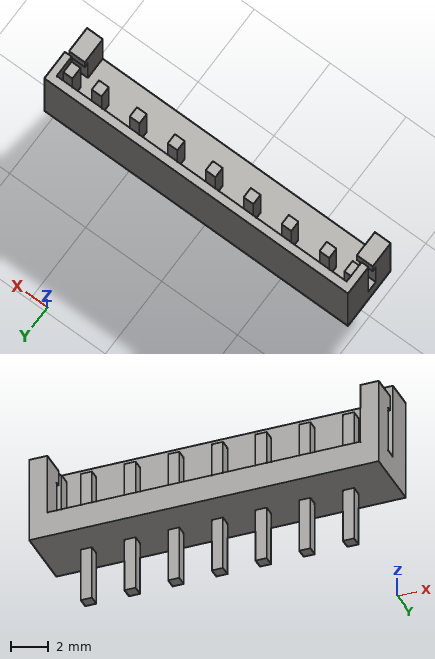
import cadquery as cq

length = 20.0
depth = 3.8
height = 6.0
floor_thickness = 1.5
end_wall_thickness = 0.45
back_wall_thickness = 0.49
end_wall_reach = 1.82

post_width = 1.04
post_height = 5.1
post_depth = 1.33
lip_overhang = 0.27
lip_height = 0.9

rib_depth = 0.73
rib_top = 5.08

pin_count = 7
pin_pitch = 2.5
pin_side = 0.64
pin_top = 4.8
pin_bottom = -3.2
pin_from_back = 1.6

half_length = length / 2
front_y = -depth / 2
back_y = depth / 2
end_wall_edge_y = back_y - end_wall_reach


def block(x_range, y_range, z_range):
    """Axis-aligned box spanning the given (low, high) ranges."""
    x_low, x_high = x_range
    y_low, y_high = y_range
    z_low, z_high = z_range
    size = (x_high - x_low, y_high - y_low, z_high - z_low)
    return cq.Workplane("XY").box(*size, centered=False).translate((x_low, y_low, z_low))


def make_shell():
    """Floor, back wall and the two short end walls."""
    full_x = (-half_length, half_length)
    floor = block(full_x, (front_y, back_y), (0, floor_thickness))
    walls = block(full_x, (end_wall_edge_y, back_y), (0, height))
    inner_x = half_length - end_wall_thickness
    cavity = block(
        (-inner_x, inner_x),
        (end_wall_edge_y, back_y - back_wall_thickness),
        (floor_thickness, height),
    )
    return floor.union(walls.cut(cavity))


def make_left_post():
    """Front corner post with a lip at its top overhanging toward the end wall."""
    rear_y = front_y + post_depth
    lip_y = rear_y + lip_overhang
    lip_bottom = post_height - lip_height
    profile = [
        (front_y, 0),
        (rear_y, 0),
        (rear_y, lip_bottom),
        (lip_y, lip_bottom),
        (lip_y, post_height),
        (front_y, post_height),
    ]
    post = cq.Workplane("YZ").polyline(profile).close().extrude(post_width)
    return post.translate((-half_length, 0, 0))


def make_left_rib():
    """Rib inside the end wall, flush with its free edge and as far in as the post."""
    return block(
        (-half_length, -half_length + post_width),
        (end_wall_edge_y, end_wall_edge_y + rib_depth),
        (0, rib_top),
    )


def make_pin(x):
    """Square pin passing through the floor at the given X."""
    pin_y = back_y - pin_from_back
    half_side = pin_side / 2
    return block(
        (x - half_side, x + half_side),
        (pin_y - half_side, pin_y + half_side),
        (pin_bottom, pin_top),
    )


result = make_shell()

for left_feature in (make_left_post(), make_left_rib()):
    result = result.union(left_feature).union(left_feature.mirror("YZ"))

for index in range(pin_count):
    pin_x = (index - (pin_count - 1) / 2) * pin_pitch
    result = result.union(make_pin(pin_x))